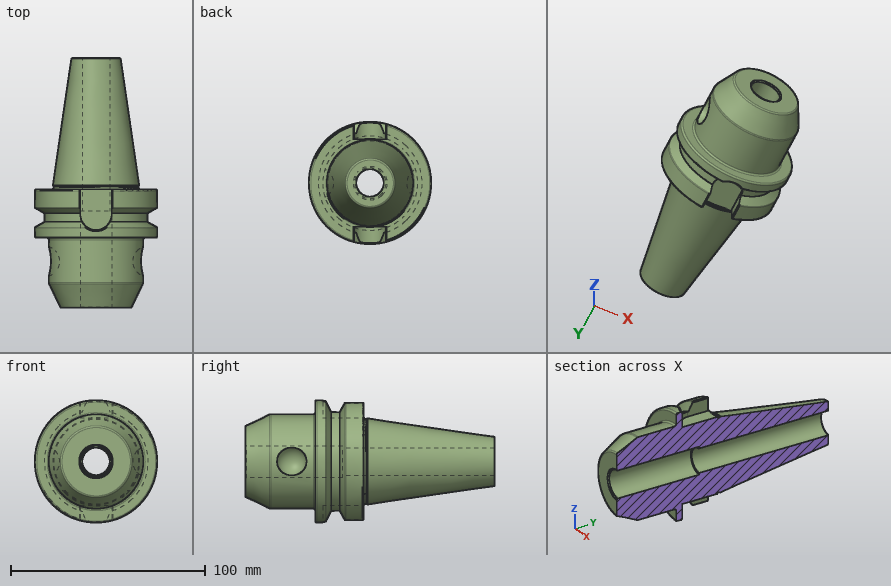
import cadquery as cq
import math


TOLERANCE = 0.01

GAUGE_RADIUS = 44.45 / 2
TAPER_SLOPE = 7 / 48
TAPER_LENGTH = 65.4
TAPER_END_FILLET = 0.9
RELIEF_RADIUS = GAUGE_RADIUS - 0.4
RELIEF_START = 0.6

RIM_RADIUS = 63 / 2
RIM_FILLET = 0.9
FLANGE_TOP_Y = -2.0
FLANGE_BOTTOM_Y = -27.0
GROOVE_CENTER_Y = -16.6
GROOVE_RADIUS = 53.2 / 2
GROOVE_FLOOR_WIDTH = 4.4
GROOVE_EDGE_FILLET = 0.5
GROOVE_WALL_ANGLE = 30.0

NOSE_END_Y = -63.0
BODY_RADIUS = 24.3
BODY_ROOT_FILLET = 0.9
BODY_END_Y = -50.3
NOSE_RADIUS = 18.2
BODY_EDGE_FILLET = 1.8
NOSE_EDGE_FILLET = 1.0

BORE_RADIUS = 8.0
BORE_CHAMFER = 0.7
BORE_DEPTH = 50.0
DRAWBAR_HOLE_RADIUS = 7.0

SLOT_WIDTH = 16.1
SLOT_FLOOR_Z = 22.5
SLOT_END_Y = -23.0
SLOT_CHAMFER = 0.65

DIMPLE_RADIUS = 8.0
DIMPLE_HALF_LENGTH = 7.6
DIMPLE_CENTER_Y = -39.0


def fillet_ring(solid, radius, y, size):
    """Round the turned edge of the given radius lying in the plane at y."""
    reach = radius + TOLERANCE
    low_corner = (-reach, y - TOLERANCE, -reach)
    high_corner = (reach, y + TOLERANCE, reach)
    box = cq.selectors.BoxSelector(low_corner, high_corner, boundingbox=True)
    return solid.edges(box).fillet(size)


def groove_half_mouth():
    """Half the groove width where its sloping walls reach the rim."""
    groove_depth = RIM_RADIUS - GROOVE_RADIUS
    return GROOVE_FLOOR_WIDTH / 2 + groove_depth * math.tan(math.radians(GROOVE_WALL_ANGLE))


def make_turned_body():
    """Revolve the outer profile, then round the nose, rim and taper-end edges."""
    half_floor = GROOVE_FLOOR_WIDTH / 2
    half_mouth = groove_half_mouth()
    taper_end_radius = GAUGE_RADIUS - TAPER_SLOPE * TAPER_LENGTH
    profile = [
        (0, NOSE_END_Y),
        (NOSE_RADIUS, NOSE_END_Y),
        (BODY_RADIUS, BODY_END_Y),
        (BODY_RADIUS, FLANGE_BOTTOM_Y),
        (RIM_RADIUS, FLANGE_BOTTOM_Y),
        (RIM_RADIUS, GROOVE_CENTER_Y - half_mouth),
        (GROOVE_RADIUS, GROOVE_CENTER_Y - half_floor),
        (GROOVE_RADIUS, GROOVE_CENTER_Y + half_floor),
        (RIM_RADIUS, GROOVE_CENTER_Y + half_mouth),
        (RIM_RADIUS, FLANGE_TOP_Y),
        (RELIEF_RADIUS, FLANGE_TOP_Y),
        (RELIEF_RADIUS, -RELIEF_START),
        (GAUGE_RADIUS, 0),
        (taper_end_radius, TAPER_LENGTH),
        (0, TAPER_LENGTH),
    ]
    body = cq.Workplane("XY").polyline(profile).close().revolve(360, (0, 0, 0), (0, 1, 0))
    rounded_edges = [
        (NOSE_RADIUS, NOSE_END_Y, NOSE_EDGE_FILLET),
        (BODY_RADIUS, BODY_END_Y, BODY_EDGE_FILLET),
        (BODY_RADIUS, FLANGE_BOTTOM_Y, BODY_ROOT_FILLET),
        (RIM_RADIUS, FLANGE_BOTTOM_Y, RIM_FILLET),
        (RIM_RADIUS, FLANGE_TOP_Y, RIM_FILLET),
        (taper_end_radius, TAPER_LENGTH, TAPER_END_FILLET),
    ]
    for radius, y, size in rounded_edges:
        body = fillet_ring(body, radius, y, size)
    return body


def make_bore():
    """Tool bore with a chamfered mouth, and the smaller hole through the taper."""
    mouth_radius = BORE_RADIUS + BORE_CHAMFER
    profile = [
        (0, NOSE_END_Y),
        (mouth_radius, NOSE_END_Y),
        (BORE_RADIUS, NOSE_END_Y + BORE_CHAMFER),
        (BORE_RADIUS, NOSE_END_Y + BORE_DEPTH),
        (DRAWBAR_HOLE_RADIUS, NOSE_END_Y + BORE_DEPTH),
        (DRAWBAR_HOLE_RADIUS, TAPER_LENGTH),
        (0, TAPER_LENGTH),
    ]
    return cq.Workplane("XY").polyline(profile).close().revolve(360, (0, 0, 0), (0, 1, 0))


def make_slot():
    """Round-ended drive slot on the +Z side, open toward the taper."""
    half_width = SLOT_WIDTH / 2
    return (
        cq.Workplane("XY")
        .workplane(offset=SLOT_FLOOR_Z)
        .moveTo(-half_width, FLANGE_TOP_Y)
        .lineTo(-half_width, SLOT_END_Y + half_width)
        .threePointArc((0, SLOT_END_Y), (half_width, SLOT_END_Y + half_width))
        .lineTo(half_width, FLANGE_TOP_Y)
        .close()
        .extrude(RIM_RADIUS - SLOT_FLOOR_Z)
    )


def is_slot_rim_edge(edge):
    """True for an edge where a slot wall meets the cylindrical rim."""
    middle = edge.positionAt(0.5)
    on_rim = abs(math.hypot(middle.x, middle.z) - RIM_RADIUS) < TOLERANCE
    within_width = abs(middle.x) < SLOT_WIDTH / 2 + TOLERANCE
    within_length = middle.y > SLOT_END_Y - TOLERANCE
    return on_rim and within_width and within_length


def make_dimple():
    """Sphere that sinks the dimple into the +X side of the nose."""
    center_height = math.sqrt(DIMPLE_RADIUS**2 - DIMPLE_HALF_LENGTH**2)
    center = (BODY_RADIUS + center_height, DIMPLE_CENTER_Y, 0)
    return cq.Workplane("XY").sphere(DIMPLE_RADIUS).translate(center)


holder = make_turned_body()
slot = make_slot()
holder = holder.cut(slot).cut(slot.mirror("XY"))
holder = holder.edges().filter(is_slot_rim_edge).chamfer(SLOT_CHAMFER)
for side in (-1, 1):
    groove_edge_y = GROOVE_CENTER_Y + side * groove_half_mouth()
    holder = fillet_ring(holder, RIM_RADIUS, groove_edge_y, GROOVE_EDGE_FILLET)
dimple = make_dimple()
holder = holder.cut(dimple).cut(dimple.mirror("YZ"))
result = holder.cut(make_bore())